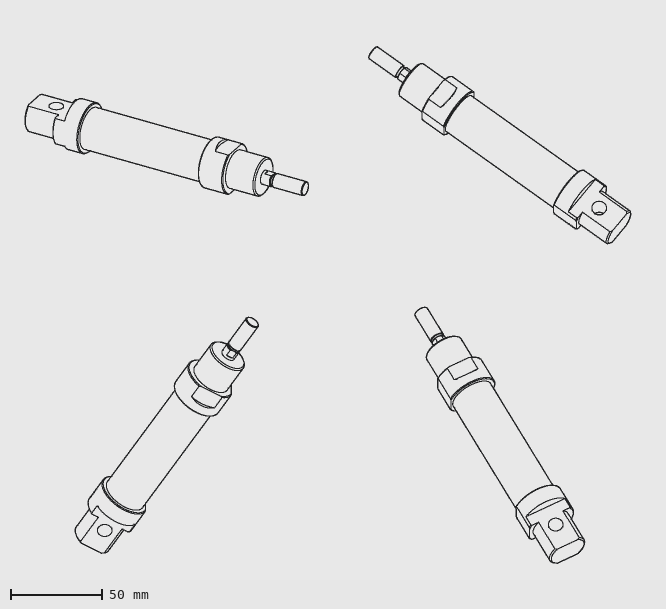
import cadquery as cq
import math


total_length = 170.5
tang_length = 19.7
cap_flat_end = 26.0
rear_cap_end = 35.5
front_cap_start = 111.1
front_collar_end = 126.5
nose_end = 144.5
rod_shoulder = 150.5
thread_start = 151.8

cap_diameter = 29.0
side_flat_offset = 13.1
cap_edge_chamfer = 0.5
tang_diameter = 22.0
tang_thickness = 16.0
tang_chamfer = 0.8
pivot_hole_diameter = 8.0
pivot_hole_x = 14.0
nose_diameter = tang_diameter
nose_chamfer = 0.8

collar_across_flats = 25.0
collar_flat_start = 116.8
collar_cutter_radius = 23.0

tube_diameter = 24.0

rod_diameter = 8.0
rod_across_flats = 7.0
rod_flat_start = 146.2
rod_shoulder_chamfer = 0.4
undercut_diameter = 6.6
thread_chamfer = 0.4


def cylinder(diameter, start, end):
    """Solid round bar along X between two stations."""
    return cq.Workplane("YZ", origin=(start, 0, 0)).circle(diameter / 2).extrude(end - start)


def cut_side_flat(body, start, end):
    """Mill the +Y side of a cap to a plane."""
    depth = cap_diameter / 2 - side_flat_offset
    cutter = cq.Workplane("XY").box(end - start, depth, cap_diameter, centered=(False, False, True))
    return body.cut(cutter.translate((start, side_flat_offset, 0)))


def cut_parallel_flats(body, cutter_outline, across_flats):
    """Remove the outline, drawn in plan, above and below a pair of flats."""
    cutter = cutter_outline.extrude(cap_diameter).translate((0, 0, across_flats / 2))
    return body.cut(cutter).cut(cutter.mirror("XY"))


def plan_rectangle(start, end):
    """Rectangle in plan that spans the full width of the part."""
    return cq.Workplane("XY").center((start + end) / 2, 0).rect(end - start, 2 * cap_diameter)


def make_rear_cap():
    collar = cylinder(cap_diameter, tang_length, rear_cap_end).faces("<X or >X").chamfer(cap_edge_chamfer)
    collar = cut_side_flat(collar, tang_length, rear_cap_end)
    tang = cylinder(tang_diameter, 0, tang_length).faces("<X").chamfer(tang_chamfer)
    body = collar.union(tang)
    body = cut_parallel_flats(body, plan_rectangle(0, cap_flat_end), tang_thickness)
    return body.cut(
        cq.Workplane("XY")
        .center(pivot_hole_x, 0)
        .circle(pivot_hole_diameter / 2)
        .extrude(tang_thickness, both=True)
    )


def make_tube():
    return cylinder(tube_diameter, rear_cap_end, front_cap_start)


def collar_flat_outline():
    """Plan outline of the spanner flat: its inner end is an arc bulging towards -X."""
    half_width = cap_diameter / 2
    corner_x = (
        collar_flat_start
        + collar_cutter_radius
        - math.sqrt(collar_cutter_radius**2 - half_width**2)
    )
    return (
        cq.Workplane("XY")
        .moveTo(front_collar_end, half_width)
        .lineTo(corner_x, half_width)
        .threePointArc((collar_flat_start, 0), (corner_x, -half_width))
        .lineTo(front_collar_end, -half_width)
        .close()
    )


def make_front_cap():
    collar = cylinder(cap_diameter, front_cap_start, front_collar_end)
    collar = collar.faces("<X or >X").chamfer(cap_edge_chamfer)
    collar = cut_side_flat(collar, front_cap_start, front_collar_end)
    collar = cut_parallel_flats(collar, collar_flat_outline(), collar_across_flats)
    nose = cylinder(nose_diameter, front_collar_end, nose_end).faces(">X").chamfer(nose_chamfer)
    return collar.union(nose)


def make_rod():
    shank = cylinder(rod_diameter, nose_end, rod_shoulder).faces(">X").chamfer(rod_shoulder_chamfer)
    shank = cut_parallel_flats(shank, plan_rectangle(rod_flat_start, rod_shoulder), rod_across_flats)
    undercut = cylinder(undercut_diameter, rod_shoulder, thread_start)
    thread = cylinder(rod_diameter, thread_start, total_length).faces(">X").chamfer(thread_chamfer)
    return shank.union(undercut).union(thread)


rear_cap = make_rear_cap()
tube = make_tube()
front_cap = make_front_cap()
rod = make_rod()

result = cq.Compound.makeCompound([rear_cap.val(), tube.val(), front_cap.val(), rod.val()])